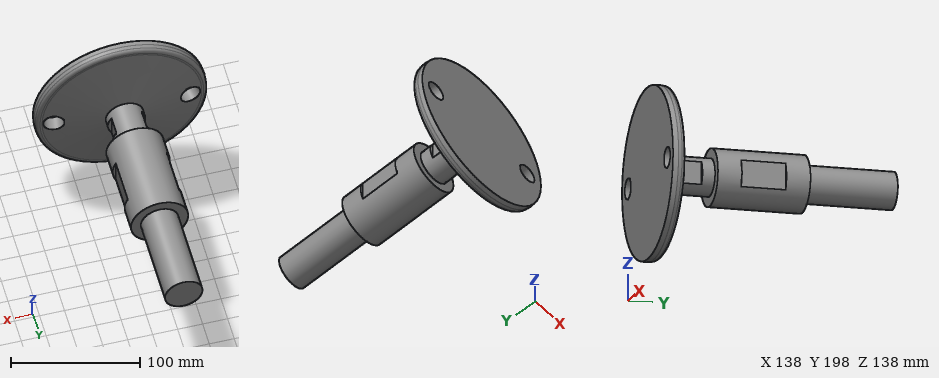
import cadquery as cq
import math

TOTAL_LENGTH = 198.0

PLATE_RADIUS = 138.0 / 2
RIM_HEIGHT = 4.2
RIM_TAPER = 0.4
SHOULDER_HEIGHT = 7.1
SHOULDER_ROUND = 3.0
CONE_BASE_RADIUS = 64.0
CONE_ANGLE = math.radians(10)

HOLE_DIAMETER = 16.5
HOLE_OFFSET = 52.7
HOLE_MARGIN = 19.8

SPINDLE_DIAMETER = 30.0
SPINDLE_FLAT_START = 25.1
SPINDLE_FLAT_END = 40.0
SPINDLE_ACROSS_FLATS = 24.2

SLEEVE_DIAMETER = 46.0
SLEEVE_START = 50.0
SLEEVE_LENGTH = 74.8
SLEEVE_FLAT_LENGTH = 36.0
SLEEVE_ACROSS_FLATS = 40.8


def cylinder_along_y(diameter, start, length):
    base = cq.Workplane(cq.Plane((0, start, 0), (1, 0, 0), (0, 1, 0)))
    return base.circle(diameter / 2).extrude(length)


def cut_wrench_flats(body, diameter, across_flats, start, end):
    """Cut two opposite flats, facing -X and +X, between two heights."""
    depth = (diameter - across_flats) / 2
    for side in (-1, 1):
        cutter = cq.Workplane("XY").box(2 * depth, end - start, diameter)
        body = body.cut(cutter.translate((side * (across_flats / 2 + depth), (start + end) / 2, 0)))
    return body


def make_plate():
    spindle_radius = SPINDLE_DIAMETER / 2
    end_radius = PLATE_RADIUS - RIM_TAPER
    round_center = end_radius - SHOULDER_ROUND

    shoulder_top = SHOULDER_HEIGHT + SHOULDER_ROUND
    round_middle = (
        round_center + SHOULDER_ROUND * math.sqrt(0.5),
        SHOULDER_HEIGHT + SHOULDER_ROUND * math.sqrt(0.5),
    )
    cone_top = shoulder_top + (CONE_BASE_RADIUS - spindle_radius) * math.tan(CONE_ANGLE)

    profile = (
        cq.Workplane("XY")
        .moveTo(0, 0)
        .lineTo(end_radius, 0)
        .lineTo(PLATE_RADIUS, RIM_HEIGHT)
        .lineTo(end_radius, SHOULDER_HEIGHT)
        .threePointArc(round_middle, (round_center, shoulder_top))
        .lineTo(CONE_BASE_RADIUS, shoulder_top)
        .lineTo(spindle_radius, cone_top)
        .lineTo(0, cone_top)
        .close()
    )
    return profile.revolve(360, (0, 0, 0), (0, 1, 0))


def cut_plate_holes(plate):
    cutter_length = SHOULDER_HEIGHT + 2 * HOLE_MARGIN
    for side in (-1, 1):
        axis = cq.Vector(side * math.sin(CONE_ANGLE), math.cos(CONE_ANGLE), 0)
        start = cq.Vector(side * HOLE_OFFSET, 0, 0) - axis * HOLE_MARGIN
        plate = plate.cut(cq.Solid.makeCylinder(HOLE_DIAMETER / 2, cutter_length, start, axis))
    return plate


def make_foot():
    spindle = cylinder_along_y(SPINDLE_DIAMETER, 0, TOTAL_LENGTH)
    spindle = cut_wrench_flats(
        spindle, SPINDLE_DIAMETER, SPINDLE_ACROSS_FLATS, SPINDLE_FLAT_START, SPINDLE_FLAT_END
    )
    return cut_plate_holes(make_plate()).union(spindle)


def make_sleeve():
    sleeve = cylinder_along_y(SLEEVE_DIAMETER, SLEEVE_START, SLEEVE_LENGTH)
    flat_start = SLEEVE_START + (SLEEVE_LENGTH - SLEEVE_FLAT_LENGTH) / 2
    flat_end = flat_start + SLEEVE_FLAT_LENGTH
    sleeve = cut_wrench_flats(sleeve, SLEEVE_DIAMETER, SLEEVE_ACROSS_FLATS, flat_start, flat_end)
    return sleeve.cut(cylinder_along_y(SPINDLE_DIAMETER, SLEEVE_START, SLEEVE_LENGTH))


foot = make_foot()
sleeve = make_sleeve()
result = cq.Compound.makeCompound([foot.solids().val(), sleeve.solids().val()])